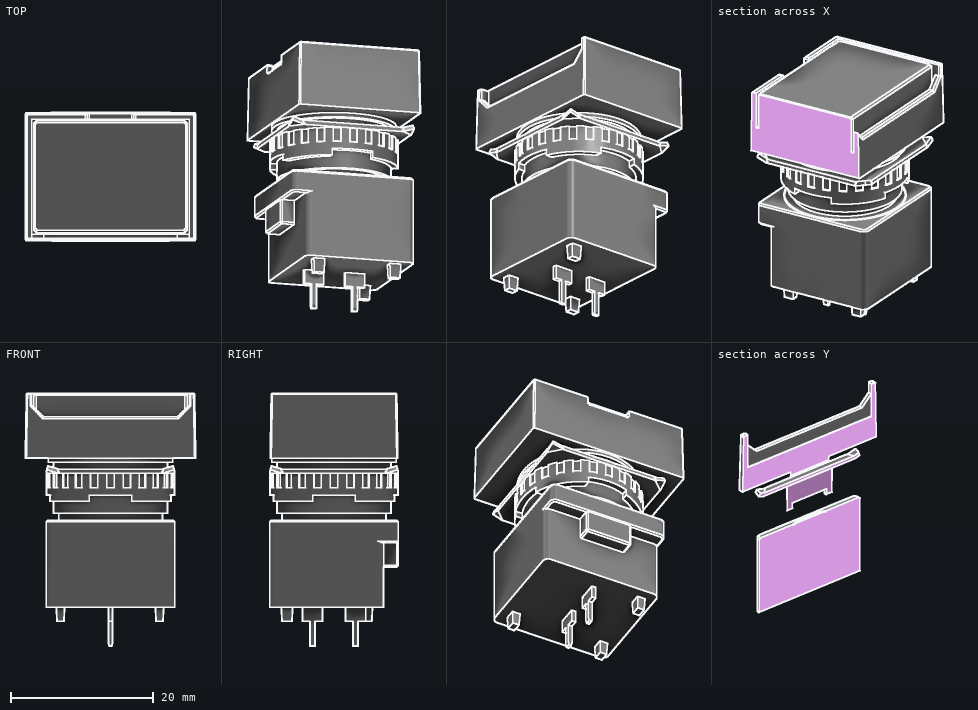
import cadquery as cq
import math

TOP_Z = 35.4
BEZEL_BOTTOM_Z = 26.35
FLANGE_BOTTOM_Z = 25.75
WASHER_TOP_Z = 24.78
NUT_TOP_Z = 24.18
NUT_SLOT_BOTTOM_Z = 22.2
NUT_NOTCH_TOP_Z = 21.15
NUT_BOTTOM_Z = 20.25
BARREL_BOTTOM_Z = 18.6
BASE_TOP_Z = 17.63
BASE_BOTTOM_Z = 5.4
FEET_BOTTOM_Z = 3.47
PIN_BOTTOM_Z = 0.0

BEZEL_LENGTH = 23.9
BEZEL_WIDTH = 17.9
BEZEL_DRAFT = 1.0
BEZEL_CORNER = 0.18
BEZEL_TOP_CHAMFER = 0.15
WELL_LENGTH = 22.02
WELL_WIDTH = 16.07
WELL_FLOOR_Z = 30.1
BUTTON_LENGTH = 21.52
BUTTON_WIDTH = 15.65
BUTTON_CHAMFER = 0.35
BUTTON_TOP_CHAMFER_DROP = 0.25
FRONT_NOTCH_DEPTH = 3.3
FRONT_NOTCH_CORNER = 1.63
BACK_NOTCH_WIDTH = 6.5
BACK_NOTCH_DEPTH = 1.4
BACK_NOTCH_CORNER = 0.3
NOTCH_RIM_CHAMFER = 0.25
RIM_FLARE_ANGLE = 45.0
NOTCH_OVERCUT = 0.35
FLANGE_RADIUS = 8.75
BARREL_RADIUS = 8.0
NECK_RADIUS = 7.3

WASHER_SIDE = 17.9
WASHER_SPAN = 18.05
WASHER_CORNER = 1.77
WASHER_BEND = 25.0

NUT_RADIUS = 9.0
NUT_SLOT_COUNT = 24
NUT_SLOT_WIDTH = 1.05
NUT_SLOT_DEPTH = 0.25
NUT_NOTCH_WIDTH = 6.0

BASE_SIDE = 18.02
BASE_CORNER_RADIUS = 0.85
BASE_EDGE_CHAMFER = 0.25
RING_RADIUS = 8.55
RING_WIDTH = 0.1
RING_DEPTH = 0.1
OVERHANG_BOTTOM_Z = 14.45
OVERHANG_DEPTH = 2.05
CATCH_WIDTH = 7.08
CATCH_BOTTOM_Z = 11.05
CATCH_CHAMFER = 0.25

TERMINAL_Y = 3.0
TERMINAL_THICKNESS = 0.6
TERMINAL_SHOULDER_WIDTH = 2.83
PIN_WIDTH = 0.75
PIN_TIP_HEIGHT = 0.45
PIN_TIP_THICKNESS = 0.4
FOOT_LENGTH_X = 1.2
FOOT_LENGTH_Y = 1.63
FOOT_DRAFT = 3.0
FOOT_CENTERS = [(-7.0, 4.6), (-7.0, -6.6), (6.85, -6.6)]


def block(length, width, bottom, top):
    """Upright rectangular block centred on the Z axis."""
    return cq.Workplane("XY").workplane(offset=bottom).rect(length, width).extrude(top - bottom)


def disc(radius, bottom, top):
    """Upright cylinder on the Z axis."""
    return cq.Workplane("XY").workplane(offset=bottom).circle(radius).extrude(top - bottom)


def notch_profile(half_width, depth, corner):
    """Outline in XZ of a notch in the bezel rim with 45 degree bottom corners."""
    floor = TOP_Z - depth
    above = TOP_Z + NOTCH_OVERCUT
    return (
        cq.Workplane("XZ")
        .moveTo(-half_width, above)
        .lineTo(-half_width, floor + corner)
        .lineTo(-half_width + corner, floor)
        .lineTo(half_width - corner, floor)
        .lineTo(half_width, floor + corner)
        .lineTo(half_width, above)
        .close()
    )


def bezel_shell():
    """Drafted rectangular frame with an open well for the button."""
    shell = (
        cq.Workplane("XY")
        .workplane(offset=BEZEL_BOTTOM_Z)
        .rect(BEZEL_LENGTH, BEZEL_WIDTH)
        .extrude(TOP_Z - BEZEL_BOTTOM_Z, taper=BEZEL_DRAFT)
    )
    outer_edges = shell.edges("not(#Z or >Z or <Z)")
    shell = outer_edges.chamfer(BEZEL_CORNER).faces(">Z").chamfer(BEZEL_TOP_CHAMFER)
    return shell.cut(block(WELL_LENGTH, WELL_WIDTH, WELL_FLOOR_Z, TOP_Z))


def cut_front_notch(shell):
    """Finger notch through the front wall, its outer rim flared at 45 degrees."""
    rise = TOP_Z - FRONT_NOTCH_DEPTH - BEZEL_BOTTOM_Z
    wall_face = BEZEL_WIDTH / 2 - rise * math.tan(math.radians(BEZEL_DRAFT))
    outline = (WELL_LENGTH / 2, FRONT_NOTCH_DEPTH, FRONT_NOTCH_CORNER)
    opening = notch_profile(*outline).extrude(BEZEL_WIDTH)
    flare = notch_profile(*outline).extrude(2 * NOTCH_RIM_CHAMFER, taper=-RIM_FLARE_ANGLE)
    flare = flare.translate((0, NOTCH_RIM_CHAMFER - wall_face, 0))
    return shell.cut(opening).cut(flare)


def cut_back_notch(shell):
    """Small notch through the back wall with chamfered top corners."""
    profile = notch_profile(BACK_NOTCH_WIDTH / 2, BACK_NOTCH_DEPTH, BACK_NOTCH_CORNER)
    shell = shell.cut(profile.extrude(-BEZEL_WIDTH))
    mouth = (
        cq.Workplane("XZ")
        .moveTo(-BACK_NOTCH_WIDTH / 2 - NOTCH_RIM_CHAMFER, TOP_Z)
        .lineTo(BACK_NOTCH_WIDTH / 2 + NOTCH_RIM_CHAMFER, TOP_Z)
        .lineTo(BACK_NOTCH_WIDTH / 2, TOP_Z - NOTCH_RIM_CHAMFER)
        .lineTo(-BACK_NOTCH_WIDTH / 2, TOP_Z - NOTCH_RIM_CHAMFER)
        .close()
        .extrude(-BEZEL_WIDTH)
    )
    return shell.cut(mouth)


def button():
    """Rectangular push face standing on the floor of the well."""
    body = block(BUTTON_LENGTH, BUTTON_WIDTH, WELL_FLOOR_Z, TOP_Z)
    body = body.edges("|Z").chamfer(BUTTON_CHAMFER)
    return body.faces(">Z").chamfer(BUTTON_TOP_CHAMFER_DROP, BUTTON_CHAMFER)


def make_operator():
    """Bezel, button and stepped barrel in one piece."""
    bezel = cut_back_notch(cut_front_notch(bezel_shell()))
    flange = disc(FLANGE_RADIUS, FLANGE_BOTTOM_Z, BEZEL_BOTTOM_Z)
    barrel = disc(BARREL_RADIUS, BARREL_BOTTOM_Z, FLANGE_BOTTOM_Z)
    neck = disc(NECK_RADIUS, BASE_TOP_Z, BARREL_BOTTOM_Z)
    return bezel.union(button()).union(flange).union(barrel).union(neck)


def make_washer():
    """Square lock washer with its four corners bent upward."""
    thickness = WASHER_TOP_Z - NUT_TOP_Z
    half = WASHER_SPAN / 2
    plate = block(WASHER_SIDE, WASHER_SIDE, NUT_TOP_Z, WASHER_TOP_Z)
    plate = plate.edges("|Z").chamfer(WASHER_CORNER - (WASHER_SPAN - WASHER_SIDE))

    bend_start = (half, half - WASHER_CORNER, NUT_TOP_Z)
    bend_end = (half - WASHER_CORNER, half, NUT_TOP_Z)
    corner = (
        cq.Workplane("XY")
        .workplane(offset=NUT_TOP_Z)
        .polyline([bend_start[:2], (half, half), bend_end[:2]])
        .close()
        .extrude(thickness)
        .rotate(bend_start, bend_end, -WASHER_BEND)
    )
    for quarter in range(4):
        plate = plate.union(corner.rotate((0, 0, 0), (0, 0, 1), 90 * quarter))
    return plate.cut(disc(BARREL_RADIUS, NUT_TOP_Z, WASHER_TOP_Z))


def make_nut():
    """Ring nut with grip slots around its rim and four notches in its lower edge."""
    nut = disc(NUT_RADIUS, NUT_BOTTOM_Z, NUT_TOP_Z)
    slot = block(2 * NUT_SLOT_DEPTH, NUT_SLOT_WIDTH, NUT_SLOT_BOTTOM_Z, NUT_TOP_Z)
    slot = slot.translate((NUT_RADIUS, 0, 0))
    for index in range(NUT_SLOT_COUNT):
        nut = nut.cut(slot.rotate((0, 0, 0), (0, 0, 1), 360 / NUT_SLOT_COUNT * index))
    notch = block(2 * NUT_RADIUS, NUT_NOTCH_WIDTH, NUT_BOTTOM_Z, NUT_NOTCH_TOP_Z)
    nut = nut.cut(notch).cut(notch.rotate((0, 0, 0), (0, 0, 1), 90))
    return nut.cut(disc(BARREL_RADIUS, NUT_BOTTOM_Z, NUT_TOP_Z))


def base_housing():
    """Rounded box whose back steps in below an overhanging lip."""
    half = BASE_SIDE / 2
    lip_bottom = OVERHANG_BOTTOM_Z + BASE_EDGE_CHAMFER
    upper = block(BASE_SIDE, BASE_SIDE, OVERHANG_BOTTOM_Z, BASE_TOP_Z)
    upper = upper.edges("|Z").fillet(BASE_CORNER_RADIUS).faces(">Z").chamfer(BASE_EDGE_CHAMFER)
    upper = upper.faces("<Z").chamfer(BASE_EDGE_CHAMFER)
    lower = (
        block(BASE_SIDE, BASE_SIDE - OVERHANG_DEPTH, BASE_BOTTOM_Z, lip_bottom)
        .edges("|Z")
        .fillet(BASE_CORNER_RADIUS)
        .translate((0, -OVERHANG_DEPTH / 2, 0))
    )
    catch = (
        block(CATCH_WIDTH, 2 * OVERHANG_DEPTH, CATCH_BOTTOM_Z, OVERHANG_BOTTOM_Z)
        .translate((0, half - OVERHANG_DEPTH, 0))
        .faces(">Y")
        .edges("|Z")
        .chamfer(CATCH_CHAMFER)
        .faces("<Z")
        .chamfer(CATCH_CHAMFER)
    )
    groove = disc(RING_RADIUS, BASE_TOP_Z - RING_DEPTH, BASE_TOP_Z)
    groove = groove.cut(disc(RING_RADIUS - RING_WIDTH, BASE_TOP_Z - RING_DEPTH, BASE_TOP_Z))
    return upper.union(lower).union(catch).cut(groove)


def terminal(y):
    """Flat terminal with a wide shoulder and a thin pin with a bevelled tip."""
    shoulder = block(TERMINAL_THICKNESS, TERMINAL_SHOULDER_WIDTH, FEET_BOTTOM_Z, BASE_BOTTOM_Z)
    pin = block(TERMINAL_THICKNESS, PIN_WIDTH, PIN_BOTTOM_Z, FEET_BOTTOM_Z)
    bevel = (TERMINAL_THICKNESS - PIN_TIP_THICKNESS) / 2
    pin = pin.faces("<Z").edges("|Y").chamfer(PIN_TIP_HEIGHT, bevel)
    return shoulder.union(pin).translate((0, y, 0))


def foot(center):
    """Short foot that narrows downward."""
    return (
        cq.Workplane("XY")
        .workplane(offset=BASE_BOTTOM_Z)
        .center(*center)
        .rect(FOOT_LENGTH_X, FOOT_LENGTH_Y)
        .extrude(FEET_BOTTOM_Z - BASE_BOTTOM_Z, taper=FOOT_DRAFT)
    )


def make_base():
    """Switch block with its two terminals and its feet."""
    base = base_housing()
    for y in (-TERMINAL_Y, TERMINAL_Y):
        base = base.union(terminal(y))
    for center in FOOT_CENTERS:
        base = base.union(foot(center))
    return base


operator = make_operator()
washer = make_washer()
nut = make_nut()
base = make_base()

result = cq.Compound.makeCompound([operator.val(), washer.val(), nut.val(), base.val()])